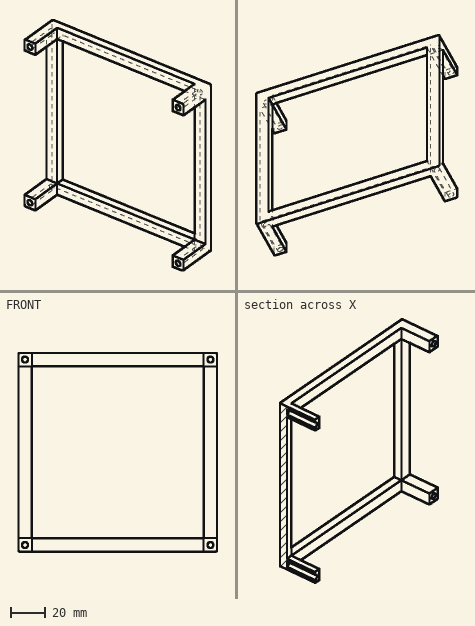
import cadquery as cq

side = 117.0
depth = 26.9
bar_width = 8.0
frame_thickness = 5.5
corner_radius = 1.0
hole_diameter = 3.5
hole_depth = depth - frame_thickness

opening = side - 2 * bar_width
leg_spacing = side - bar_width
front_y = -depth / 2


def front_plane():
    """Sketch plane on the leg ends; its normal points toward -Y."""
    return cq.Workplane("XZ", origin=(0, front_y, 0))


def rounded_block():
    block = front_plane().rect(side, side).extrude(-depth)
    return block.edges("|Y").fillet(corner_radius)


def frame_opening():
    return front_plane().rect(opening, opening).extrude(-depth)


def gaps_between_legs():
    """A cross of two slabs that leaves only the legs in front of the frame."""
    leg_length = depth - frame_thickness
    across_z = front_plane().rect(opening, side).extrude(-leg_length)
    across_x = front_plane().rect(side, opening).extrude(-leg_length)
    return across_z.union(across_x)


def leg_holes():
    centers = front_plane().rect(leg_spacing, leg_spacing, forConstruction=True).vertices()
    return centers.circle(hole_diameter / 2).extrude(-hole_depth)


result = rounded_block().cut(frame_opening()).cut(gaps_between_legs()).cut(leg_holes())